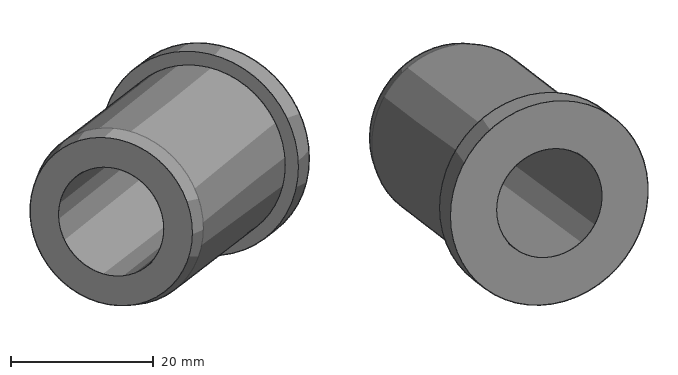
import cadquery as cq
import math

total_length = 36.0
head_diameter = 30.0
head_thickness = 4.0
body_diameter = 26.0
bore_diameter = 16.0
lead_in_length = 2.4
lead_in_angle = 15.0

head_radius = head_diameter / 2
body_radius = body_diameter / 2
bore_radius = bore_diameter / 2
tip_radius = body_radius - lead_in_length * math.tan(math.radians(lead_in_angle))
shoulder_y = total_length - head_thickness

half_section = [
    (bore_radius, 0),
    (tip_radius, 0),
    (body_radius, lead_in_length),
    (body_radius, shoulder_y),
    (head_radius, shoulder_y),
    (head_radius, total_length),
    (bore_radius, total_length),
]

result = (
    cq.Workplane("XY")
    .polyline(half_section)
    .close()
    .revolve(360, (0, 0, 0), (0, 1, 0))
)